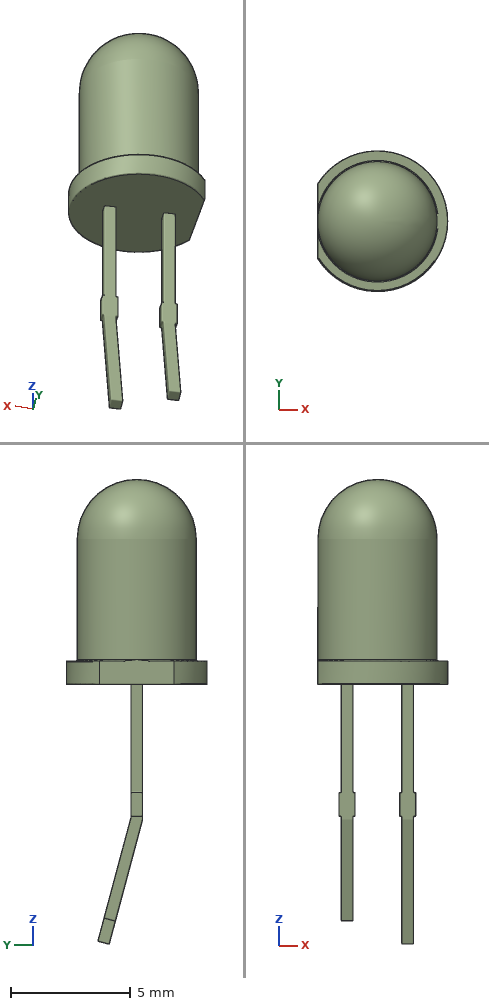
import cadquery as cq
import math

overall_height = 19.47
lens_radius = 2.5
lens_straight_height = 5.1
flange_radius = 2.95
flange_height = 1.0
flat_x = -lens_radius
housing_height = flange_height + lens_straight_height + lens_radius

edge_radius = 0.05

lead_pitch = 2.54
lead_width = 0.5
lead_half_width = lead_width / 2
stop_width = 0.68
stop_corner_radius = 0.04
stop_top_z = -4.52
stop_height = 1.0
stop_bottom_z = stop_top_z - stop_height
bend_z = -5.65
bend_angle = math.radians(15)

tip_rounding_loss = edge_radius * (math.sin(bend_angle) + math.cos(bend_angle) - 1)
anode_tip_z = housing_height - overall_height - tip_rounding_loss
cathode_shortening = 0.97
cathode_tip_z = anode_tip_z + cathode_shortening

pick_margin = 0.01


def make_flange():
    """Disc with one flat and rounded upper and lower rims."""
    disc = cq.Workplane("XY").circle(flange_radius).extrude(flange_height)
    flange = disc.intersect(space_beside_flat())
    return flange.faces("<Z or >Z").edges().fillet(edge_radius)


def make_lens():
    """Domed cylinder whose foot flares into the flange with a concave rounding.

    It starts at mid flange, so the lower rim of the flange stays rounded along the flat.
    """
    foot_radius = lens_radius + edge_radius
    foot_z = flange_height / 2
    profile = (
        cq.Workplane("XZ")
        .moveTo(0, foot_z)
        .lineTo(foot_radius, foot_z)
        .lineTo(foot_radius, flange_height)
        .radiusArc((lens_radius, flange_height + edge_radius), edge_radius)
        .lineTo(lens_radius, flange_height + lens_straight_height)
        .radiusArc((0, housing_height), -lens_radius)
        .close()
    )
    lens = profile.revolve(360, (0, 0, 0), (0, 1, 0))
    return lens.intersect(space_beside_flat())


def space_beside_flat():
    """Block around the housing that ends at the plane of the flat."""
    side = 2 * flange_radius
    corner_at_flat = cq.Workplane("XY", origin=(flat_x, 0, 0))
    return corner_at_flat.box(side, side, housing_height, centered=(False, True, False))


def make_housing():
    return make_flange().union(make_lens())


def stopped_strip(tip_z):
    """Front shape of a lead: a straight strip with a wider stop, extruded along Y."""
    half_stop = stop_width / 2
    right_edge = [
        (lead_half_width, 0),
        (lead_half_width, stop_top_z),
        (half_stop, stop_top_z),
        (half_stop, stop_bottom_z),
        (lead_half_width, stop_bottom_z),
        (lead_half_width, tip_z),
    ]
    left_edge = [(-x, z) for x, z in reversed(right_edge)]
    outline = cq.Workplane("XZ").polyline(right_edge + left_edge).close()
    strip = outline.extrude(overall_height, both=True)
    stop_zone = cq.selectors.BoxSelector(
        (-stop_width, -pick_margin, stop_bottom_z - pick_margin),
        (stop_width, pick_margin, stop_top_z + pick_margin),
    )
    stop_corners = strip.edges("|Y").edges(stop_zone)
    return stop_corners.fillet(stop_corner_radius)


def bent_strip(tip_z):
    """Side shape of a lead: a strip bent once, its tip cut square, extruded along X."""
    along_y = math.sin(bend_angle)
    along_z = math.cos(bend_angle)
    inner_bend_z = bend_z + lead_width * math.tan(bend_angle / 2)
    outer_tip_y = -lead_half_width + (bend_z - tip_z) * math.tan(bend_angle)
    outline = (
        cq.Workplane("YZ")
        .moveTo(-lead_half_width, 0)
        .lineTo(-lead_half_width, bend_z)
        .lineTo(outer_tip_y, tip_z)
        .lineTo(outer_tip_y + lead_width * along_z, tip_z + lead_width * along_y)
        .lineTo(lead_half_width, inner_bend_z)
        .lineTo(lead_half_width, 0)
        .close()
    )
    return outline.extrude(stop_width, both=True)


def make_lead(x, tip_z):
    """Bent lead with every edge rounded except at its top end and across the bend."""
    lead = stopped_strip(tip_z).intersect(bent_strip(tip_z))
    top_edges = cq.selectors.BoxSelector(
        (-lead_width, -lead_width, -pick_margin),
        (lead_width, lead_width, pick_margin),
    )
    bend_edges = cq.selectors.BoxSelector(
        (-pick_margin, -lead_width, bend_z - pick_margin),
        (pick_margin, lead_width, stop_bottom_z),
    )
    sharp_edges = cq.selectors.SumSelector(top_edges, bend_edges)
    rounded_edges = lead.edges(cq.selectors.InverseSelector(sharp_edges))
    return rounded_edges.fillet(edge_radius).translate((x, 0, 0))


housing = make_housing()
cathode = make_lead(-lead_pitch / 2, cathode_tip_z)
anode = make_lead(lead_pitch / 2, anode_tip_z)

result = cq.Compound.makeCompound([housing.val(), cathode.val(), anode.val()])